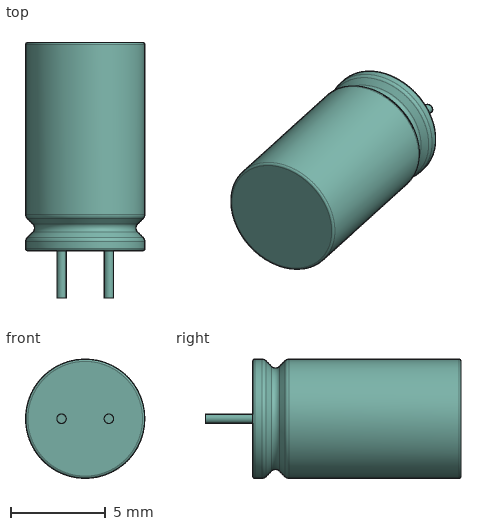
import cadquery as cq
import math

total_length = 13.5
can_diameter = 6.3
lead_length = 2.5
lead_diameter = 0.5
lead_pitch = 2.5
edge_radius = 0.12

groove_center = 1.2
groove_width = 1.43
groove_radius = 0.3
flank_angle = math.radians(45)

can_radius = can_diameter / 2
can_length = total_length - lead_length

blend_length = groove_radius * math.sin(flank_angle)
blend_depth = groove_radius * (1 - math.cos(flank_angle))
mid_length = groove_radius * math.sin(flank_angle / 2)
mid_depth = groove_radius * (1 - math.cos(flank_angle / 2))

flank_length = groove_width / 2 - 2 * blend_length
flank_depth = flank_length * math.tan(flank_angle)
neck_radius = can_radius - 2 * blend_depth - flank_depth
groove_start = groove_center - groove_width / 2
groove_end = groove_center + groove_width / 2


def make_can():
    """Revolve the can's half outline about Y, then round both end rims."""
    outline = (
        cq.Workplane("XY")
        .lineTo(can_radius, 0)
        .lineTo(can_radius, groove_start)
        .threePointArc(
            (can_radius - mid_depth, groove_start + mid_length),
            (can_radius - blend_depth, groove_start + blend_length),
        )
        .lineTo(neck_radius + blend_depth, groove_center - blend_length)
        .threePointArc(
            (neck_radius, groove_center),
            (neck_radius + blend_depth, groove_center + blend_length),
        )
        .lineTo(can_radius - blend_depth, groove_end - blend_length)
        .threePointArc(
            (can_radius - mid_depth, groove_end - mid_length),
            (can_radius, groove_end),
        )
        .lineTo(can_radius, can_length)
        .lineTo(0, can_length)
        .close()
    )
    can = outline.revolve(360, (0, 0, 0), (0, 1, 0))
    return can.faces("<Y or >Y").edges().fillet(edge_radius)


def make_leads():
    """Two round wires side by side along X, starting at the can's base."""
    return (
        cq.Workplane("XZ")
        .pushPoints([(-lead_pitch / 2, 0), (lead_pitch / 2, 0)])
        .circle(lead_diameter / 2)
        .extrude(lead_length)
    )


result = make_can().union(make_leads())